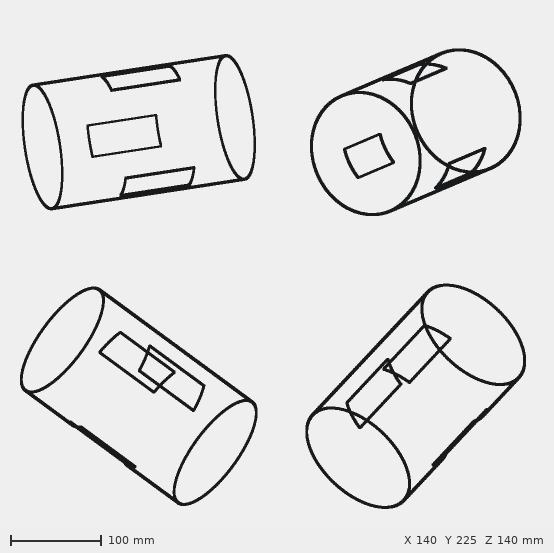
import cadquery as cq

tube_length = 225.0
outer_diameter = 140.0
wall_thickness = 1.25
outer_radius = outer_diameter / 2
inner_radius = outer_radius - wall_thickness

window_count = 3
window_width = 35.0
window_length = 80.0
window_back_margin = 70.0
window_center_y = tube_length / 2 - window_back_margin - window_length / 2


def make_tube():
    return (
        cq.Workplane("XZ")
        .circle(outer_radius)
        .circle(inner_radius)
        .extrude(tube_length / 2, both=True)
    )


def window_cutter(angle):
    """Block from the tube axis out through the wall, turned about Y from +Z."""
    block_height = outer_diameter
    return (
        cq.Workplane("XY")
        .box(window_width, window_length, block_height, centered=(True, True, False))
        .translate((0, window_center_y, 0))
        .rotate((0, 0, 0), (0, 1, 0), angle)
    )


result = make_tube()
for index in range(window_count):
    result = result.cut(window_cutter(index * 360 / window_count))